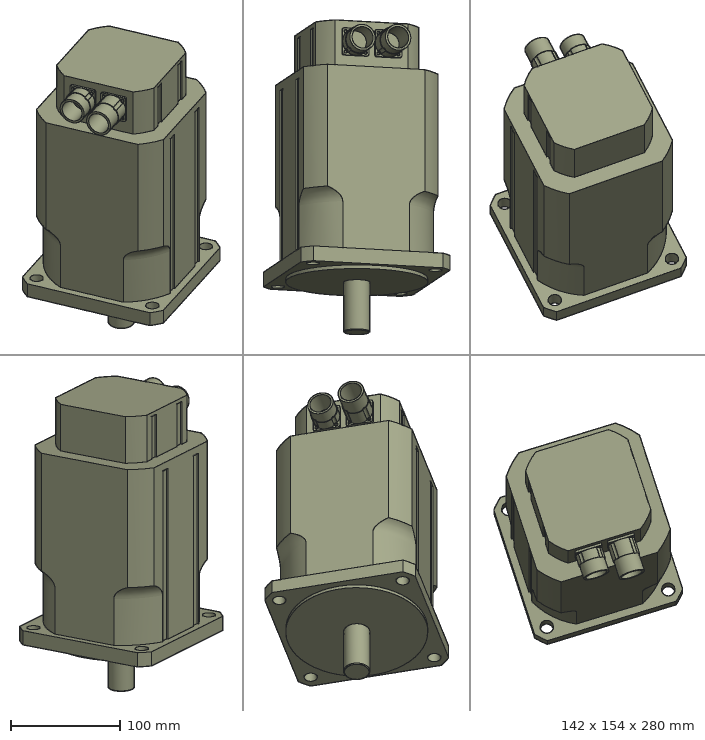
import cadquery as cq
shaft_tip_z = -50.0
pilot_height = 3.5
flange_height = 13.7
relief_top_z = 58.2
relief_blend_z = 71.7
cap_height = 44.8
cap_top_z = 280 + shaft_tip_z
body_top_z = cap_top_z - cap_height

flange_width = 142.0
flange_corner_diameter = 188.2
body_width = 128.0
body_corner_diameter = 158.0
relief_diameter = 142.8
cap_width = 98.0
cap_corner_diameter = 120.0

shaft_diameter = 24.0
shaft_chamfer = 0.8
pilot_diameter = 130.0
mounting_hole_diameter = 12.0
mounting_hole_spacing = 116.5

groove_depth = 1.5
body_groove_width = 8.5
body_groove_offset = 26.45
body_groove_top_z = body_top_z - 7.5
cap_groove_width = 7.8
cap_groove_offset = 21.98
cap_groove_top_z = cap_top_z - 4.0

connector_spacing = 31.0
connector_z = cap_top_z - 20.0
plate_width = 25.2
plate_thickness = 2.2
plate_corner_radius = 2.0
screw_hole_diameter = 2.7
screw_hole_spacing = 19.0
screw_clearance_diameter = 4.5
collar_diameter = 25.2
barrel_diameter = 24.0
bore_diameter = 20.0
connector_layouts = [
    (-connector_spacing / 2, 11.8, 24.5),
    (connector_spacing / 2, 17.5, 34.0),
]


def cylinder(diameter, bottom_z, top_z):
    """Cylinder on the motor axis."""
    return cq.Workplane("XY", origin=(0, 0, bottom_z)).circle(diameter / 2).extrude(top_z - bottom_z)


def turned_square(width, corner_diameter, bottom_z, top_z):
    """Square prism whose corners are rounded by a cylinder on the motor axis."""
    prism = cq.Workplane("XY", origin=(0, 0, bottom_z)).rect(width, width).extrude(top_z - bottom_z)
    return prism.intersect(cylinder(corner_diameter, bottom_z, top_z))


def side_grooves(section_width, groove_width, offset, bottom_z, top_z):
    """Two shallow vertical grooves in each X side of a square section."""
    return (
        cq.Workplane("XY", origin=(0, 0, bottom_z))
        .rarray(section_width, 2 * offset, 2, 2)
        .rect(2 * groove_depth, groove_width)
        .extrude(top_z - bottom_z)
    )


def make_flange():
    plate = turned_square(flange_width, flange_corner_diameter, 0, flange_height)
    holes = (
        cq.Workplane("XY")
        .rarray(mounting_hole_spacing, mounting_hole_spacing, 2, 2)
        .circle(mounting_hole_diameter / 2)
        .extrude(flange_height)
    )
    return plate.cut(holes)


def make_corner_relief():
    """Ring that trims the lower body corners and blends out in an arc tangent to the trimmed wall."""
    inner_radius = relief_diameter / 2
    outer_radius = body_corner_diameter / 2
    step = outer_radius - inner_radius
    blend_height = relief_blend_z - relief_top_z
    blend_radius = (step**2 + blend_height**2) / (2 * step)
    middle_height = blend_height / 2
    middle_step = blend_radius - (blend_radius**2 - middle_height**2) ** 0.5
    clear_radius = outer_radius + 2.8
    profile = (
        cq.Workplane("XZ")
        .moveTo(inner_radius, flange_height)
        .lineTo(inner_radius, relief_top_z)
        .threePointArc(
            (inner_radius + middle_step, relief_top_z + middle_height),
            (outer_radius, relief_blend_z),
        )
        .lineTo(clear_radius, relief_blend_z)
        .lineTo(clear_radius, flange_height)
        .close()
    )
    return profile.revolve(360, (0, 0, 0), (0, 1, 0))


def make_body():
    body = turned_square(body_width, body_corner_diameter, flange_height, body_top_z)
    grooves = side_grooves(
        body_width, body_groove_width, body_groove_offset, flange_height, body_groove_top_z
    )
    return body.cut(make_corner_relief()).cut(grooves)


def make_cap():
    cap = turned_square(cap_width, cap_corner_diameter, body_top_z, cap_top_z)
    grooves = side_grooves(cap_width, cap_groove_width, cap_groove_offset, body_top_z, cap_groove_top_z)
    return cap.cut(grooves)


def make_motor():
    pilot = cylinder(pilot_diameter, -pilot_height, 0)
    shaft = cylinder(shaft_diameter, shaft_tip_z, 0).faces("<Z").chamfer(shaft_chamfer)
    return make_flange().union(pilot).union(shaft).union(make_body()).union(make_cap())


def make_connector(center_x, collar_end, barrel_end):
    """Hollow connector standing on the cap's -Y face, with a screwed square plate at its foot."""
    foot = cq.Workplane("XZ", origin=(center_x, -cap_width / 2, connector_z))
    plate_face = foot.workplane(offset=plate_thickness)

    plate = foot.rect(plate_width, plate_width).extrude(plate_thickness)
    plate = plate.edges("|Y").fillet(plate_corner_radius)
    screw_holes = (
        foot.rarray(screw_hole_spacing, screw_hole_spacing, 2, 2)
        .circle(screw_hole_diameter / 2)
        .extrude(plate_thickness)
    )

    collar_length = collar_end - plate_thickness
    collar = plate_face.circle(collar_diameter / 2).extrude(collar_length)
    screw_clearances = (
        plate_face.rarray(screw_hole_spacing, screw_hole_spacing, 2, 2)
        .circle(screw_clearance_diameter / 2)
        .extrude(collar_length)
    )

    barrel = foot.workplane(offset=collar_end).circle(barrel_diameter / 2).extrude(barrel_end - collar_end)
    bore = plate_face.circle(bore_diameter / 2).extrude(barrel_end - plate_thickness)

    connector = plate.cut(screw_holes).union(collar.cut(screw_clearances))
    return connector.union(barrel).cut(bore)


motor = make_motor()
connectors = [make_connector(*layout).val() for layout in connector_layouts]

result = cq.Compound.makeCompound([motor.val(), *connectors])